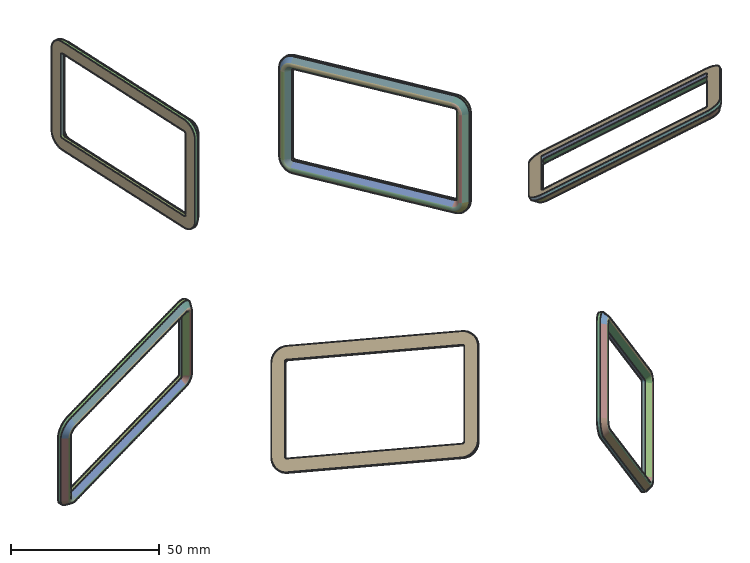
import cadquery as cq
import math

length = 72.6
height = 44.1
depth = 3.5

bar_width = 4.8
wall_depth = 1.2
corner_radius = 5.5
ridge_radius = 0.95

front_y = -depth / 2
ridge_y = depth / 2
wall_y = front_y + wall_depth

half_bar = bar_width / 2
centre_rise = ridge_y - ridge_radius - wall_y
edge_to_centre = math.hypot(half_bar, centre_rise)
roof_angle = math.atan2(centre_rise, half_bar) + math.asin(ridge_radius / edge_to_centre)

arc_half_width = ridge_radius * math.sin(roof_angle)
arc_start_y = ridge_y - ridge_radius * (1 - math.cos(roof_angle))


def bar_section():
    """Bar profile in the XY plane, placed on the -X side of the frame."""
    outer_x = -length / 2
    inner_x = outer_x + bar_width
    ridge_x = outer_x + half_bar
    return (
        cq.Workplane("XY")
        .moveTo(outer_x, front_y)
        .lineTo(inner_x, front_y)
        .lineTo(inner_x, wall_y)
        .lineTo(ridge_x + arc_half_width, arc_start_y)
        .threePointArc((ridge_x, ridge_y), (ridge_x - arc_half_width, arc_start_y))
        .lineTo(outer_x, wall_y)
        .close()
    )


def frame_path():
    """Closed rounded rectangle along the outer edge, starting mid-height on the -X side."""
    half_x = length / 2
    half_z = height / 2
    straight_x = half_x - corner_radius
    straight_z = half_z - corner_radius
    mid = corner_radius * math.sin(math.radians(45))
    return (
        cq.Workplane("XZ")
        .moveTo(-half_x, 0)
        .lineTo(-half_x, straight_z)
        .threePointArc((-straight_x - mid, straight_z + mid), (-straight_x, half_z))
        .lineTo(straight_x, half_z)
        .threePointArc((straight_x + mid, straight_z + mid), (half_x, straight_z))
        .lineTo(half_x, -straight_z)
        .threePointArc((straight_x + mid, -straight_z - mid), (straight_x, -half_z))
        .lineTo(-straight_x, -half_z)
        .threePointArc((-straight_x - mid, -straight_z - mid), (-half_x, -straight_z))
        .close()
    )


result = bar_section().sweep(frame_path())